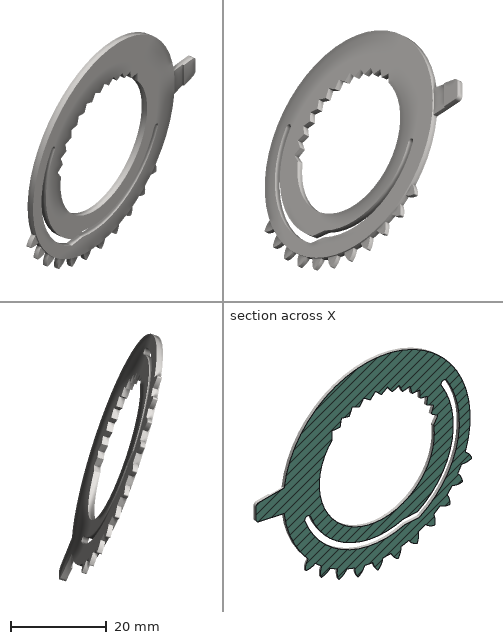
import cadquery as cq
import math

overall_length = 58.45
ring_thickness = 1.4
ring_radius = 25.3
bore_radius = 15.5
join_overlap = 1.15

tooth_thickness = 1.05
tooth_count = 11
teeth_per_full_turn = 32
tooth_pitch = 360 / teeth_per_full_turn
first_tooth_angle = 111.8
tooth_tip_radius = 27.65
tooth_root_half_width = 1.4
tooth_middle_radius = 26.5
tooth_middle_half_width = 1.0
tooth_crest_radius = 27.55
tooth_crest_half_width = 0.25

notch_count = 12
notch_pitch = 11
first_notch_angle = -45
notch_apex_radius = 16.95

slot_width = 1.5
slot_large_radius = 21.5
slot_small_radius = 20.0
slot_start_angle = 57.8
slot_step_start_angle = 148.6
slot_step_end_angle = 158.2
slot_end_angle = 249

tab_tip_half_width = 2.35
tab_root_half_width = 3.2
tab_corner_radius = 1.0
tab_relief_end = 28.65


def polar(radius, angle):
    """Return the (Y, Z) point at a radius and an angle."""
    a = math.radians(angle)
    return (-radius * math.sin(a), radius * math.cos(a))


def at_angle(solid, angle):
    """Turn a feature modelled at +Z to its angle around the ring."""
    return solid.rotate((0, 0, 0), (1, 0, 0), angle)


def make_tooth():
    embed_radius = ring_radius - join_overlap
    return (
        cq.Workplane("YZ")
        .moveTo(-tooth_root_half_width, embed_radius)
        .lineTo(-tooth_root_half_width, ring_radius)
        .threePointArc(
            (-tooth_middle_half_width, tooth_middle_radius),
            (-tooth_crest_half_width, tooth_crest_radius),
        )
        .threePointArc((0, tooth_tip_radius), (tooth_crest_half_width, tooth_crest_radius))
        .threePointArc(
            (tooth_middle_half_width, tooth_middle_radius),
            (tooth_root_half_width, ring_radius),
        )
        .lineTo(tooth_root_half_width, embed_radius)
        .close()
        .extrude(tooth_thickness)
    )


def make_notch():
    base_radius = bore_radius - join_overlap
    half_width = notch_apex_radius - base_radius
    return (
        cq.Workplane("YZ")
        .polyline([(-half_width, base_radius), (0, notch_apex_radius), (half_width, base_radius)])
        .close()
        .extrude(ring_thickness)
    )


def make_slot():
    large_middle_angle = (slot_start_angle + slot_step_start_angle) / 2
    small_middle_angle = (slot_step_end_angle + slot_end_angle) / 2
    return (
        cq.Workplane("YZ")
        .moveTo(*polar(slot_large_radius, slot_start_angle))
        .threePointArc(
            polar(slot_large_radius, large_middle_angle),
            polar(slot_large_radius, slot_step_start_angle),
        )
        .lineTo(*polar(slot_small_radius, slot_step_end_angle))
        .threePointArc(
            polar(slot_small_radius, small_middle_angle),
            polar(slot_small_radius, slot_end_angle),
        )
        .offset2D(slot_width / 2)
        .extrude(ring_thickness)
    )


def make_tab(tab_tip):
    """Tapered tab, thinned on its +X face between the ring and the tip pad."""
    root_y = math.sqrt(ring_radius**2 - tab_root_half_width**2)
    inner_y = root_y - join_overlap
    tab = (
        cq.Workplane("YZ")
        .polyline([
            (inner_y, -tab_root_half_width),
            (root_y, -tab_root_half_width),
            (tab_tip, -tab_tip_half_width),
            (tab_tip, tab_tip_half_width),
            (root_y, tab_root_half_width),
            (inner_y, tab_root_half_width),
        ])
        .close()
        .extrude(ring_thickness)
        .edges("|X and >Y")
        .fillet(tab_corner_radius)
    )
    relief = cq.Workplane("XY").box(
        ring_thickness - tooth_thickness,
        tab_relief_end - inner_y,
        2 * tab_root_half_width,
        centered=(False, False, True),
    )
    return tab.cut(relief.translate((tooth_thickness, inner_y, 0)))


result = cq.Workplane("YZ").circle(ring_radius).extrude(ring_thickness)
for i in range(tooth_count):
    result = result.union(at_angle(make_tooth(), first_tooth_angle + i * tooth_pitch))

toothed_side_y = result.val().BoundingBox().ymin
result = result.union(make_tab(toothed_side_y + overall_length))

result = result.cut(cq.Workplane("YZ").circle(bore_radius).extrude(ring_thickness))
for i in range(notch_count):
    result = result.cut(at_angle(make_notch(), first_notch_angle + i * notch_pitch))

result = result.cut(make_slot())